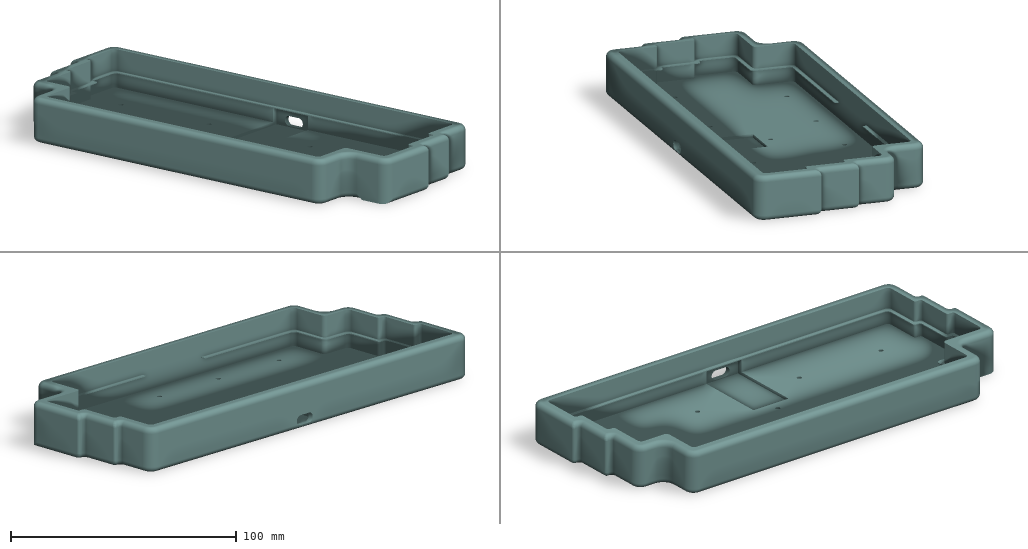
import cadquery as cq

LENGTH = 208.8
WIDTH = 88.0
HEIGHT = 20.7

SIDE_STEP = 3.5
LEFT_SIDES = (0.0, SIDE_STEP, 2 * SIDE_STEP, 22.1)
RIGHT_SIDES = (LENGTH - 2 * SIDE_STEP, LENGTH - SIDE_STEP, LENGTH, 186.5)
ROW_PITCH = 19.0

LEFT_STEPS = [row * ROW_PITCH for row in (3, 2, 1)]
RIGHT_STEPS = [WIDTH - ROW_PITCH, WIDTH - 2 * ROW_PITCH, ROW_PITCH]

WALL = 5.0
FLOOR = 3.0
LIP_WIDTH = 2.0
LIP_LEVEL = 10.6
LIP_THICKNESS = 0.5

RIM_FILLET = 2.5
OUTER_RADIUS = 5.0
INNER_RADIUS = 2.0
STEP_RADIUS = SIDE_STEP - RIM_FILLET

STEP_CORNERS = (1, 2, 3, 4, 11, 12, 13, 14)

HOLE_DIAMETER = 2.3
BACK_HOLES_X = (24.6, 74.1, 131.1, 176.8)
BACK_HOLES_Y = 62.8
MIDDLE_HOLE = (104.4, 43.8)
FRONT_HOLES_X = (47.4, 85.8, 123.0, 161.4)
FRONT_HOLES_Y = 15.7

CENTRE_X = 104.4
BAY_LENGTH = 19.6
BAY_FRONT = 48.6
BAY_DEPTH = 1.5
BAY_BACK = 85.4

SLOT_LENGTH = 10.0
SLOT_HEIGHT = 4.5
SLOT_LEVEL = 4.2

GAP_LENGTH = 37.2

LUG_RUN_OUT = 3.3


def outline_corners(inset):
    """Corners of the stepped outline, moved inward by inset, from the back left corner downward."""
    left = [x + inset for x in LEFT_SIDES]
    right = [x - inset for x in RIGHT_SIDES]
    left_y = [y + inset for y in LEFT_STEPS]
    right_y = [y - inset for y in RIGHT_STEPS[:2]] + [RIGHT_STEPS[2] + inset]
    corners = [(left[0], WIDTH - inset)]
    for row, y in enumerate(left_y):
        corners += [(left[row], y), (left[row + 1], y)]
    corners += [(left[3], inset), (right[3], inset)]
    for row in (2, 1, 0):
        corners += [(right[row + 1], right_y[row]), (right[row], right_y[row])]
    return corners + [(right[0], WIDTH - inset)]


def stepped_prism(inset, bottom, top, main_radius):
    """Upright prism on the inset outline, with its vertical corners rounded."""
    corners = outline_corners(inset)
    prism = cq.Workplane("XY").workplane(offset=bottom).polyline(corners).close().extrude(top - bottom)
    for index, (x, y) in enumerate(corners):
        radius = STEP_RADIUS if index in STEP_CORNERS else main_radius
        middle = (x, y, (bottom + top) / 2)
        prism = prism.edges(cq.selectors.NearestToPointSelector(middle)).fillet(radius)
    return prism


def box(x_range, y_range, z_range):
    """Plain block between the given limits."""
    (x0, x1), (y0, y1), (z0, z1) = x_range, y_range, z_range
    return cq.Workplane("XY").box(x1 - x0, y1 - y0, z1 - z0, centered=False).translate((x0, y0, z0))


def make_shell():
    """Rounded tray with an open cavity."""
    prism = stepped_prism(0, 0, HEIGHT, OUTER_RADIUS)
    rounded = prism.faces(">Z or <Z").edges().fillet(RIM_FILLET)
    shell = rounded.union(make_square_lug_edge(prism))
    return shell.cut(stepped_prism(WALL, FLOOR, HEIGHT, INNER_RADIUS))


def make_square_lug_edge(prism):
    """Lower front edge of the right lug, left square between a slope and the rounded right side."""
    start = RIGHT_SIDES[3] + OUTER_RADIUS
    profile = (
        cq.Workplane("XZ")
        .moveTo(start, RIM_FILLET)
        .lineTo(LENGTH, RIM_FILLET)
        .radiusArc((LENGTH - RIM_FILLET, 0), RIM_FILLET)
        .lineTo(start + LUG_RUN_OUT, 0)
        .close()
    )
    return prism.intersect(profile.extrude(-(RIGHT_STEPS[2] + OUTER_RADIUS)))


def make_lip():
    """Thin lip around the inside of the wall, broken in the middle of the front."""
    bottom = LIP_LEVEL - LIP_THICKNESS
    opening = stepped_prism(WALL + LIP_WIDTH, bottom, LIP_LEVEL, INNER_RADIUS)
    lip = stepped_prism(WALL, bottom, LIP_LEVEL, INNER_RADIUS).cut(opening)
    gap_x = (CENTRE_X - GAP_LENGTH / 2, CENTRE_X + GAP_LENGTH / 2)
    return lip.cut(box(gap_x, (WALL, WALL + LIP_WIDTH), (bottom, LIP_LEVEL)))


def cut_connector_bay(shell):
    """Sunken bay that undercuts the back lip, and the connector slot through the back wall."""
    bay_x = (CENTRE_X - BAY_LENGTH / 2, CENTRE_X + BAY_LENGTH / 2)
    bay = box(bay_x, (BAY_FRONT, BAY_BACK), (FLOOR - BAY_DEPTH, LIP_LEVEL - LIP_THICKNESS))
    slot = (
        cq.Workplane("XZ", origin=(CENTRE_X, WIDTH, SLOT_LEVEL))
        .slot2D(SLOT_LENGTH, SLOT_HEIGHT)
        .extrude(WIDTH - BAY_FRONT)
    )
    return shell.cut(bay).cut(slot)


def drill_screw_holes(shell):
    """Screw holes through the floor."""
    places = [(x, BACK_HOLES_Y) for x in BACK_HOLES_X]
    places += [MIDDLE_HOLE]
    places += [(x, FRONT_HOLES_Y) for x in FRONT_HOLES_X]
    drills = cq.Workplane("XY").pushPoints(places).circle(HOLE_DIAMETER / 2).extrude(LIP_LEVEL)
    return shell.cut(drills)


tray = make_shell().union(make_lip())
tray = cut_connector_bay(tray)
result = drill_screw_holes(tray)